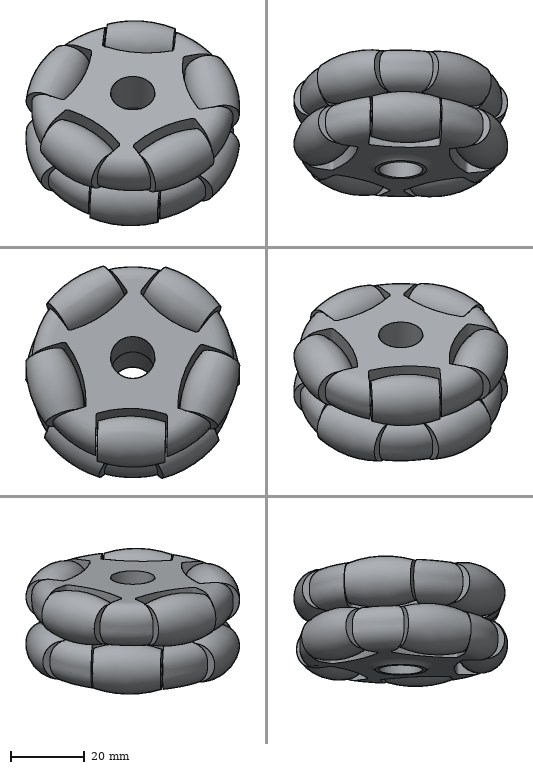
import cadquery as cq
import math

outer_radius = 29.15
rollers_per_wheel = 5
roller_pitch = 360.0 / rollers_per_wheel
wheel_spacing = 13.0

roller_radius = 7.0
roller_length = 18.5
roller_axis_radius = outer_radius - roller_radius
roller_half_length = roller_length / 2
crown_drop = outer_radius - math.sqrt(outer_radius**2 - roller_half_length**2)
roller_end_radius = roller_radius - crown_drop
axle_radius = 1.5

hub_radius = 27.5
hub_thickness = 12.0
hub_rim_fillet = 5.0
bore_radius = 6.0

boss_height = wheel_spacing - hub_thickness
boss_end_radius = 7.0
boss_flare_radius = 3.05
boss_flare_end_angle = math.asin(1 - boss_height / boss_flare_radius)
boss_base_radius = boss_end_radius + boss_flare_radius * math.cos(boss_flare_end_angle)

slot_clearance = 0.5
slot_corner_fillet = 1.0
slot_half_width = roller_half_length + slot_clearance
slot_arc_radius = outer_radius + slot_clearance
slot_arc_drop = slot_arc_radius - math.sqrt(slot_arc_radius**2 - slot_half_width**2)
slot_floor = -roller_axis_radius + roller_radius + slot_clearance
slot_corner = slot_floor - slot_arc_drop


def around_wheel(shape):
    """Copies of a shape placed at -Y, one at each roller position."""
    copies = cq.Workplane("XY")
    for index in range(rollers_per_wheel):
        copies = copies.add(shape.rotate((0, 0, 0), (0, 0, 1), index * roller_pitch))
    return copies


def make_roller():
    """Barrel lying along X at the -Y roller position."""
    return (
        cq.Workplane("XZ")
        .moveTo(-roller_half_length, 0)
        .lineTo(-roller_half_length, roller_end_radius)
        .threePointArc((0, roller_radius), (roller_half_length, roller_end_radius))
        .lineTo(roller_half_length, 0)
        .close()
        .revolve(360, (0, 0, 0), (1, 0, 0))
        .translate((0, -roller_axis_radius, 0))
    )


def make_axle():
    """Pin along X that carries a roller between the two side walls of its slot."""
    return (
        cq.Workplane("YZ")
        .center(-roller_axis_radius, 0)
        .circle(axle_radius)
        .extrude(slot_half_width, both=True)
    )


def make_slot():
    """Cutter for the -Y slot, open at the rim, with a floor curved like the roller."""
    return (
        cq.Workplane("XY")
        .workplane(offset=-hub_thickness / 2)
        .moveTo(-slot_half_width, -outer_radius)
        .lineTo(-slot_half_width, slot_corner)
        .threePointArc((0, slot_floor), (slot_half_width, slot_corner))
        .lineTo(slot_half_width, -outer_radius)
        .close()
        .extrude(hub_thickness)
        .edges("|Z")
        .edges(">Y")
        .fillet(slot_corner_fillet)
    )


def make_boss():
    """Round boss that narrows downward along a concave arc tangent to the underside of the hub."""
    underside = -hub_thickness / 2
    boss_end = underside - boss_height
    arc_middle_angle = (boss_flare_end_angle + math.pi / 2) / 2
    arc_middle = (
        boss_base_radius - boss_flare_radius * math.cos(arc_middle_angle),
        underside - boss_flare_radius * (1 - math.sin(arc_middle_angle)),
    )
    return (
        cq.Workplane("XZ")
        .lineTo(boss_base_radius, 0)
        .lineTo(boss_base_radius, underside)
        .threePointArc(arc_middle, (boss_end_radius, boss_end))
        .lineTo(0, boss_end)
        .close()
        .revolve(360, (0, 0, 0), (0, 1, 0))
    )


def make_hub():
    """Disc with a rounded rim and a boss below, a centre bore and the roller slots."""
    disc = (
        cq.Workplane("XY")
        .circle(hub_radius)
        .extrude(hub_thickness / 2, both=True)
        .edges()
        .fillet(hub_rim_fillet)
    )
    bore = cq.Workplane("XY").circle(bore_radius).extrude(hub_thickness / 2 + boss_height, both=True)
    hub = disc.union(make_boss()).cut(bore)
    for slot in around_wheel(make_slot()).vals():
        hub = hub.cut(cq.Workplane(slot))
    return hub


def make_wheel():
    """Hub with its rollers held on their axles, as one solid centred on the origin."""
    wheel = make_hub()
    mounted_roller = make_roller().union(make_axle())
    for roller in around_wheel(mounted_roller).vals():
        wheel = wheel.union(cq.Workplane(roller))
    return wheel


wheel = make_wheel()
upper_wheel = wheel.translate((0, 0, wheel_spacing / 2))
lower_wheel = wheel.rotate((0, 0, 0), (0, 0, 1), roller_pitch / 2).translate((0, 0, -wheel_spacing / 2))

result = cq.Compound.makeCompound([upper_wheel.val(), lower_wheel.val()])